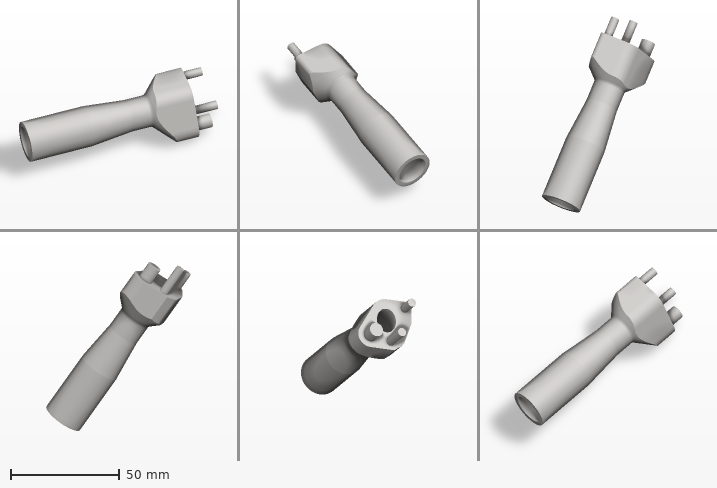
import cadquery as cq
import math


GRIP_RADIUS = 9.5
GRIP_END = 30.0
NECK_RADIUS = 7.5
NECK_START = 50.0
NECK_END = 59.0

FLARE_ANGLE = math.radians(45)
FLARE_BLEND_RADIUS = 2.0
FLARE_MAX_RADIUS = 20.0

HEAD_FACE = 80.0
GROUND_PIN_X = 8.07
GROUND_PIN_Z = -8.07
PINS = [
    (-9.07, 7.1, 4.0, 9.0),
    (-2.0, -10.07, 4.0, 14.0),
    (GROUND_PIN_X, GROUND_PIN_Z, 6.5, 7.5),
]

HEAD_LEFT = -12.5
HEAD_TOP = 10.5
GROUND_CORNER_RADIUS = 6.0
HEAD_BOTTOM = GROUND_PIN_Z - GROUND_CORNER_RADIUS
SMALL_CORNER_RADIUS = 2.0
LEFT_SIDE_END_Z = 0.05
CHAMFER_START = (-8.7, -10.46)
CHAMFER_END_X = -4.0
SLANT_NORMAL = math.radians(30)

SOCKET_RADIUS = 7.2
SOCKET_DEPTH = GRIP_END
BORE_RADIUS = 5.5
OPENING_HALF_WIDTH = 4.75
OPENING_HALF_HEIGHT = 5.75


def plane_at(y):
    """XZ plane at the given Y; local x is X, local y is Z, and extrusions by -d go towards +Y."""
    return cq.Workplane("XZ", origin=(0, y, 0))


def make_handle():
    profile = (
        cq.Workplane("XY")
        .lineTo(GRIP_RADIUS, 0)
        .lineTo(GRIP_RADIUS, GRIP_END)
        .lineTo(NECK_RADIUS, NECK_START)
        .lineTo(NECK_RADIUS, NECK_END)
        .lineTo(0, NECK_END)
        .close()
    )
    return profile.revolve(360, (0, 0, 0), (0, 1, 0))


def make_flare():
    """Solid of revolution that limits the head towards the neck: a blend, then a cone."""
    blend_center_r = NECK_RADIUS + FLARE_BLEND_RADIUS

    def blend_point(angle):
        r = blend_center_r - FLARE_BLEND_RADIUS * math.cos(angle)
        return r, NECK_END + FLARE_BLEND_RADIUS * math.sin(angle)

    cone_start_r, cone_start_y = blend_point(FLARE_ANGLE)
    cone_end_y = cone_start_y + (FLARE_MAX_RADIUS - cone_start_r) / math.tan(FLARE_ANGLE)
    profile = (
        cq.Workplane("XY")
        .moveTo(0, NECK_END)
        .lineTo(NECK_RADIUS, NECK_END)
        .threePointArc(blend_point(FLARE_ANGLE / 2), (cone_start_r, cone_start_y))
        .lineTo(FLARE_MAX_RADIUS, cone_end_y)
        .lineTo(FLARE_MAX_RADIUS, HEAD_FACE)
        .lineTo(0, HEAD_FACE)
        .close()
    )
    return profile.revolve(360, (0, 0, 0), (0, 1, 0))


def slant_x(z):
    """X of the slanted right side, which is tangent to the corner round about the ground pin."""
    nx = math.cos(SLANT_NORMAL)
    nz = math.sin(SLANT_NORMAL)
    distance = nx * GROUND_PIN_X + nz * GROUND_PIN_Z + GROUND_CORNER_RADIUS
    return (distance - nz * z) / nx


def make_head():
    top_right_x = slant_x(HEAD_TOP)
    top_right_radius = top_right_x / math.tan((math.pi / 2 - SLANT_NORMAL) / 2)
    corners = [
        ((HEAD_LEFT, HEAD_TOP), SMALL_CORNER_RADIUS),
        ((top_right_x, HEAD_TOP), top_right_radius),
        ((slant_x(HEAD_BOTTOM), HEAD_BOTTOM), GROUND_CORNER_RADIUS),
        ((CHAMFER_END_X, HEAD_BOTTOM), 0),
        (CHAMFER_START, SMALL_CORNER_RADIUS),
        ((HEAD_LEFT, LEFT_SIDE_END_Z), SMALL_CORNER_RADIUS),
    ]
    outline = [point for point, radius in corners]
    length = HEAD_FACE - NECK_END
    head = plane_at(NECK_END).polyline(outline).close().extrude(-length)
    for (x, z), radius in corners:
        if radius > 0:
            middle = (x, NECK_END + length / 2, z)
            head = head.edges(cq.selectors.NearestToPointSelector(middle)).fillet(radius)
    return head.intersect(make_flare())


def make_pin(x, z, diameter, length):
    return plane_at(HEAD_FACE).center(x, z).circle(diameter / 2).extrude(-length)


def make_bore():
    """Socket in the grip, round bore to the neck end, then a taper to an oval opening."""
    socket = plane_at(0).circle(SOCKET_RADIUS).extrude(-SOCKET_DEPTH)
    bore = plane_at(0).circle(BORE_RADIUS).extrude(-NECK_END)
    taper = (
        plane_at(NECK_END)
        .circle(BORE_RADIUS)
        .workplane(offset=NECK_END - HEAD_FACE)
        .ellipse(OPENING_HALF_WIDTH, OPENING_HALF_HEIGHT)
        .loft()
    )
    return socket.union(bore).union(taper)


body = make_handle().union(make_head()).cut(make_bore())
for pin in PINS:
    body = body.union(make_pin(*pin))
result = body